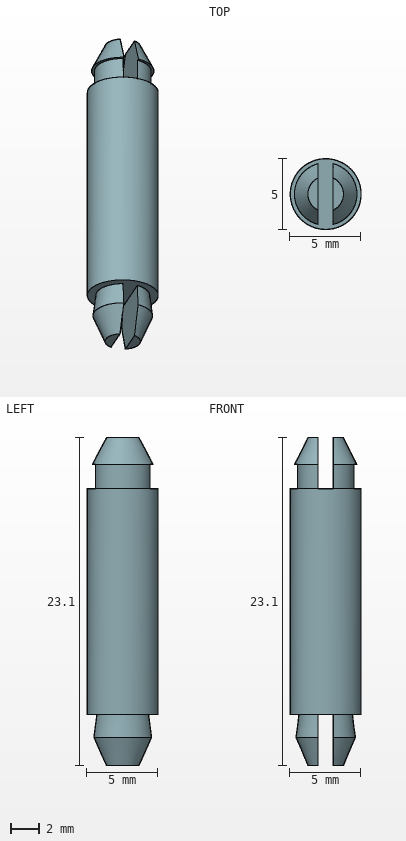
import cadquery as cq

body_diameter = 5.0
body_length = 15.9

upper_neck_diameter = 4.0
upper_neck_length = 1.7
upper_head_diameter = 4.4
upper_head_length = 1.9

lower_root_diameter = 3.8
lower_head_diameter = 4.2
lower_neck_length = 1.6
lower_head_length = 2.0

tip_diameter = 2.5
slot_width = 1.05

upper_shoulder_z = body_length + upper_neck_length
upper_tip_z = upper_shoulder_z + upper_head_length
lower_shoulder_z = -lower_neck_length
lower_tip_z = lower_shoulder_z - lower_head_length


def turned_spacer():
    """Body and both pins, revolved about Z from one half profile."""
    profile = [
        (0, lower_tip_z),
        (tip_diameter / 2, lower_tip_z),
        (lower_head_diameter / 2, lower_shoulder_z),
        (lower_root_diameter / 2, 0),
        (body_diameter / 2, 0),
        (body_diameter / 2, body_length),
        (upper_neck_diameter / 2, body_length),
        (upper_neck_diameter / 2, upper_shoulder_z),
        (upper_head_diameter / 2, upper_shoulder_z),
        (tip_diameter / 2, upper_tip_z),
        (0, upper_tip_z),
    ]
    return cq.Workplane("XZ").polyline(profile).close().revolve(360, (0, 0), (0, 1))


def pin_slot(start_z, end_z):
    """Cutter that splits a pin along Y over its full height."""
    return (
        cq.Workplane("XY")
        .workplane(offset=start_z)
        .rect(slot_width, body_diameter)
        .extrude(end_z - start_z)
    )


result = (
    turned_spacer()
    .cut(pin_slot(body_length, upper_tip_z))
    .cut(pin_slot(lower_tip_z, 0))
)